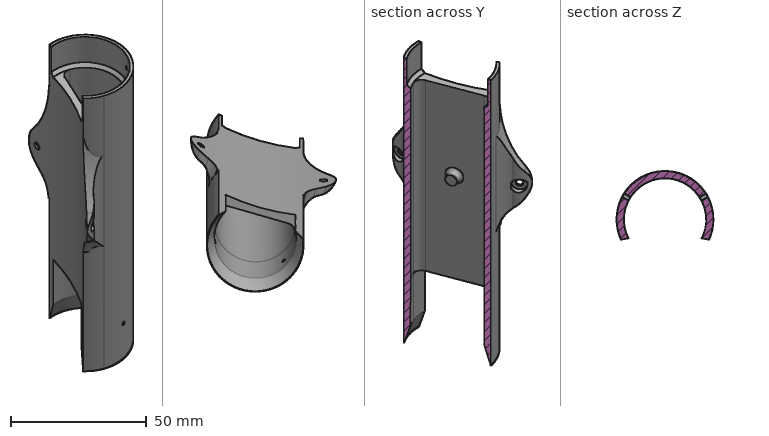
import cadquery as cq
import math

length = 133.4
outer_radius = 17.9
bore_radius = 15.1

socket_radius = 16.5
socket_depth = 12.4
shoulder_height = 1.3

flare_radius = 17.6
flare_height = 8.8

saddle_radius = 81.3
saddle_crown_y = -5.9

floor_bottom_z = 30.5
floor_top_z = length - socket_depth - shoulder_height
floor_y = -3.1
floor_corner_radius = 3.3

ear_tip_x = 27.9
ear_tip_y = -10.7
ear_foot_y = -11.7
ear_hollow_middle = (19.1, -3.5)
ear_hollow_end = (22.1, -5.9)
ear_nose_middle = (25.7, -7.5)
ear_tip_start = (25.7, 85.6)
ear_tip_end = (24.3, 70.1)
ear_root_points = ((16.8, 113.3), (19.7, 97.7), (20.8, 66.3), (19.0, 63.1), (17.6, 58.4))
ear_foot_points = ((16.1, 113.3), (19.5, 97.1), (20.5, 67.1), (17.9, 64.1), (16.3, 58.4))
ear_hole_x = 23.5
ear_hole_z = 78.7
ear_hole_diameter = 2.8
ear_seat_diameter = 6.1
ear_seat_thickness = 1.0
ear_hole_overrun = 8.0

boss_radius = 2.4
boss_top_y = 0.1
boss_flare_width = 1.2
boss_flare_height = 2.4

pin_hole_diameter = 1.3
top_pin_z = 127.1
side_pin_z = 17.3
side_pin_angle = 30.0


def cylinder_z(radius, bottom, top):
    return cq.Workplane("XY").workplane(offset=bottom).circle(radius).extrude(top - bottom)


def cone_z(bottom_radius, top_radius, bottom, height):
    return cq.Workplane(
        cq.Solid.makeCone(bottom_radius, top_radius, height, cq.Vector(0, 0, bottom))
    )


def radial_hole(angle, z):
    """Hole running outward from the tube axis; the angle is measured from +X."""
    direction = cq.Vector(math.cos(math.radians(angle)), math.sin(math.radians(angle)), 0)
    return cq.Workplane(
        cq.Solid.makeCylinder(pin_hole_diameter / 2, 2 * outer_radius, cq.Vector(0, 0, z), direction)
    )


def make_cavity():
    """Bore, socket, shoulder and flare as one solid of revolution."""
    cavity = cylinder_z(bore_radius, 0, length)
    cavity = cavity.union(cylinder_z(socket_radius, length - socket_depth, length))
    cavity = cavity.union(cone_z(bore_radius, socket_radius, floor_top_z, shoulder_height))
    return cavity.union(cone_z(flare_radius, bore_radius, 0, flare_height))


def make_floor():
    """Plug filling the bore below the passage, whose lower corners are rounded."""
    floor_height = floor_top_z - floor_bottom_z
    passage = (
        cylinder_z(bore_radius, floor_bottom_z, floor_top_z)
        .intersect(
            cq.Workplane("XY", origin=(0, floor_y + bore_radius, floor_bottom_z))
            .rect(2 * outer_radius, 2 * bore_radius)
            .extrude(floor_height)
        )
        .edges("|Z")
        .edges("<Y")
        .fillet(floor_corner_radius)
    )
    wall_middle_radius = (bore_radius + outer_radius) / 2
    return cylinder_z(wall_middle_radius, floor_bottom_z, floor_top_z).cut(passage)


def ear_outline(top, upper_curve, lower_bend, lower_curve, bottom, y):
    """Closed outline of an ear at one Y level, listed as (x, z) points from top to bottom."""
    return (
        cq.Workplane("XZ", origin=(0, y, 0))
        .moveTo(0, top[1])
        .lineTo(*top)
        .threePointArc(upper_curve, ear_tip_start)
        .threePointArc((ear_tip_x, ear_hole_z), ear_tip_end)
        .lineTo(*lower_bend)
        .threePointArc(lower_curve, bottom)
        .lineTo(0, bottom[1])
        .close()
        .val()
    )


def make_ear():
    """Ear on the +X side: its cross-section trimmed to its outline."""
    section = (
        cq.Workplane("XY")
        .moveTo(0, 0)
        .lineTo(outer_radius, 0)
        .threePointArc(ear_hollow_middle, ear_hollow_end)
        .threePointArc(ear_nose_middle, (ear_tip_x, ear_tip_y))
        .lineTo(ear_tip_x, 2 * ear_tip_y)
        .lineTo(0, 2 * ear_tip_y)
        .close()
        .extrude(length)
    )
    root = ear_outline(*ear_root_points, 0)
    foot = ear_outline(*ear_foot_points, ear_foot_y)
    prism = cq.Workplane(cq.Solid.makeLoft([root, foot], True))

    tilt = math.asin(ear_hole_x / saddle_radius)
    axis = cq.Vector(math.sin(tilt), math.cos(tilt), 0)
    saddle_point = cq.Vector(ear_hole_x, saddle_crown_y - saddle_radius * (1 - math.cos(tilt)), ear_hole_z)
    hole = cq.Solid.makeCylinder(
        ear_hole_diameter / 2, 2 * ear_hole_overrun, saddle_point - axis * ear_hole_overrun, axis
    )
    seat = cq.Solid.makeCylinder(
        ear_seat_diameter / 2, ear_hole_overrun, saddle_point + axis * ear_seat_thickness, axis
    )
    return section.intersect(prism).cut(cq.Workplane(hole)).cut(cq.Workplane(seat))


def make_boss():
    """Round boss with a concave flare where it meets the floor."""
    flare_outer = boss_radius + boss_flare_width
    flare_top = floor_y + boss_flare_height
    middle_share = 1 - math.sqrt(0.5)
    flare_middle = (
        boss_radius + boss_flare_width * middle_share,
        floor_y + boss_flare_height * middle_share,
    )
    return (
        cq.Workplane("XY")
        .moveTo(0, (floor_y + saddle_crown_y) / 2)
        .lineTo(flare_outer, (floor_y + saddle_crown_y) / 2)
        .lineTo(flare_outer, floor_y)
        .threePointArc(flare_middle, (boss_radius, flare_top))
        .lineTo(boss_radius, boss_top_y)
        .lineTo(0, boss_top_y)
        .close()
        .revolve(360, (0, 0, 0), (0, 1, 0))
        .translate((0, 0, ear_hole_z))
    )


saddle = (
    cq.Workplane("XY")
    .center(0, saddle_crown_y - saddle_radius)
    .circle(saddle_radius)
    .extrude(length)
)

ear = make_ear()
body = cylinder_z(outer_radius, 0, length).union(ear).union(ear.mirror("YZ"))
body = body.cut(make_cavity()).union(make_floor()).union(make_boss()).cut(saddle)

for pin_angle in (side_pin_angle, 180 - side_pin_angle):
    body = body.cut(radial_hole(pin_angle, side_pin_z))

result = body.cut(radial_hole(90, top_pin_z))